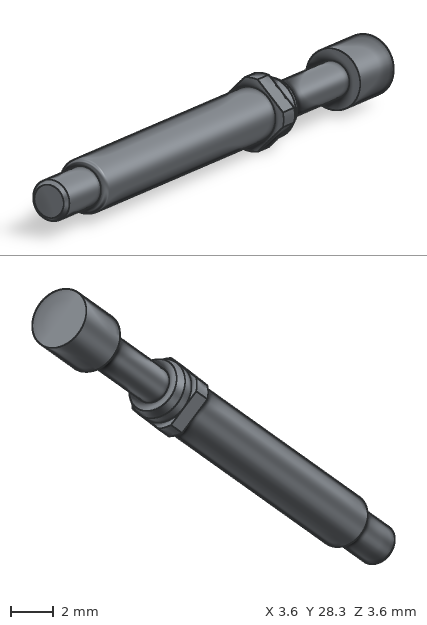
import cadquery as cq

overall_length = 28.3

tip_diameter = 2.0
tip_length = 3.0
tip_chamfer = 0.2

sleeve_diameter = 2.7
sleeve_length = 15.0
sleeve_fillet = 0.2

nut_across_flats = 3.0
nut_across_corners = 3.6
nut_thickness = 1.0

collar_diameter = 3.0
collar_length = 0.57
rim_diameter = 2.63
taper_length = 0.45

shaft_diameter = 1.8
head_diameter = 3.0
head_length = 3.0

sleeve_end = -sleeve_length
tip_end = sleeve_end - tip_length
head_end = tip_end + overall_length
head_start = head_end - head_length
collar_end = nut_thickness + collar_length
rim_end = collar_end + taper_length


def section_at(y):
    """Sketch plane across the axis at y, extruding toward +Y, with local x along X."""
    return cq.Workplane(cq.Plane(origin=(0, y, 0), xDir=(1, 0, 0), normal=(0, 1, 0)))


def cylinder(diameter, start, end):
    return section_at(start).circle(diameter / 2).extrude(end - start)


def make_nut():
    """Square turned by 45 degrees, with its corners rounded by a cylinder."""
    square = section_at(0).rect(nut_across_flats, nut_across_flats).extrude(nut_thickness)
    diamond = square.rotate((0, 0, 0), (0, 1, 0), 45)
    return diamond.intersect(cylinder(nut_across_corners, 0, nut_thickness))


def make_taper():
    """Cone narrowing from the collar to its rim."""
    base = section_at(collar_end).circle(collar_diameter / 2)
    return base.workplane(offset=taper_length).circle(rim_diameter / 2).loft(ruled=True)


tip = cylinder(tip_diameter, tip_end, sleeve_end).faces("<Y").chamfer(tip_chamfer)
sleeve = cylinder(sleeve_diameter, sleeve_end, 0).faces("<Y").edges().fillet(sleeve_fillet)
collar = cylinder(collar_diameter, nut_thickness, collar_end)
taper = make_taper()
shaft = cylinder(shaft_diameter, rim_end, head_start)
head = cylinder(head_diameter, head_start, head_end)

result = make_nut()
for section in (sleeve, tip, collar, taper, shaft, head):
    result = result.union(section)